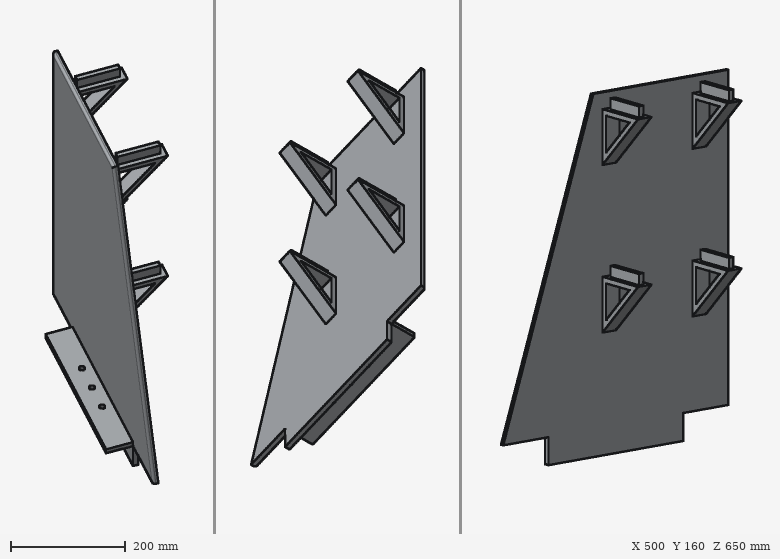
import cadquery as cq
import math

bottom_width = 500
top_width = 300
panel_height = 600
thickness = 10
edge_radius = 5

bar_length = 300
bar_left = (bottom_width - bar_length) / 2
ledge_depth = 50
flange_drop = 50
hole_diameter = 10
hole_count = 3
hole_spacing = 50
hole_from_panel = 20

hook_size = 100
hook_width = 30
hook_wall = 10
hook_columns = (65, 265)
hook_tops = (270, 570)
tongue_width = 10
tongue_height = 20
tongue_inset = 10


def make_panel():
    """Trapezoidal plate with rounded front edges on every side except the bottom."""
    outline = [(0, 0), (bottom_width, 0), (top_width, panel_height), (0, panel_height)]
    panel = cq.Workplane("XZ").polyline(outline).close().extrude(-thickness)
    return panel.faces("<Y").edges("not <Z").fillet(edge_radius)


def make_angle_bar():
    """Drilled ledge in front of the panel, with a flange hanging below the panel."""
    ledge = cq.Workplane("XY").box(
        bar_length, ledge_depth + thickness, thickness, centered=False
    ).translate((bar_left, -ledge_depth, 0))
    flange = cq.Workplane("XY").box(
        bar_length, thickness, flange_drop, centered=False
    ).translate((bar_left, 0, -flange_drop))
    holes = (
        cq.Workplane("XY")
        .center(bottom_width / 2, -hole_from_panel)
        .rarray(hole_spacing, 1, hole_count, 1)
        .circle(hole_diameter / 2)
        .extrude(thickness)
    )
    return ledge.union(flange).cut(holes)


def right_triangle(corner_y, corner_z, leg):
    """Hook-wide prism with its square corner at the given point, reaching back and down."""
    return (
        cq.Workplane("YZ")
        .moveTo(corner_y, corner_z)
        .lineTo(corner_y + leg, corner_z)
        .lineTo(corner_y, corner_z - leg)
        .close()
        .extrude(hook_width / 2, both=True)
    )


def make_hook():
    """Open triangular bracket with a tongue on top; its top front edge is on the X axis."""
    leg_loss = hook_wall * (2 + math.sqrt(2))
    frame = right_triangle(0, 0, hook_size)
    window = right_triangle(hook_wall, -hook_wall, hook_size - leg_loss)
    tongue_length = hook_size - 2 * tongue_inset
    tongue = cq.Workplane("XY").box(
        tongue_width, tongue_length, tongue_height, centered=(True, False, False)
    ).translate((0, tongue_inset, 0))
    return frame.cut(window).union(tongue)


result = make_panel().union(make_angle_bar())
hook = make_hook()
for hook_x in hook_columns:
    for hook_z in hook_tops:
        result = result.union(hook.translate((hook_x, thickness, hook_z)))